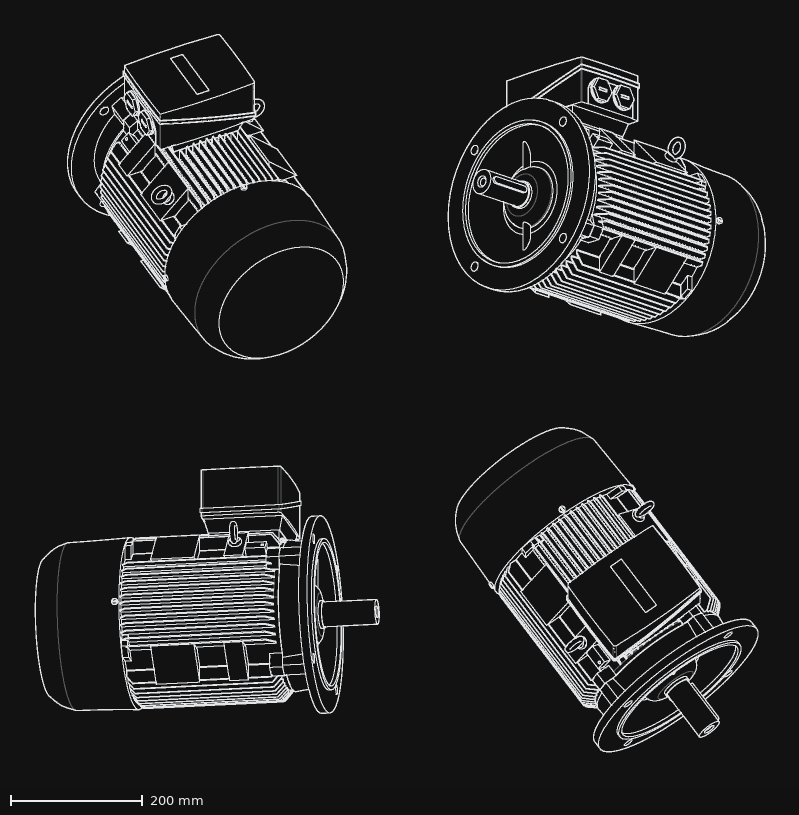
import cadquery as cq
import math


SHAFT_TIP_X = -80.0
SPIGOT_X = -4.0
FLANGE_BACK_X = 13.0
HOUSING_FRONT_X = 51.0
FIN_FRONT_X = 58.5
LUG_BACK_X = 71.0
COVER_FRONT_X = 294.0
COVER_BEND_X = 390.0
COVER_REAR_X = 428.0

SHAFT_R = 19.0
COLLAR_R = 21.0
COLLAR_LENGTH = 5.0
KEY_WIDTH = 10.0
KEY_START_X = -75.0
KEY_LENGTH = 70.0
KEY_TOP = 22.0
CENTRE_HOLE_R = 6.0
CENTRE_HOLE_DEPTH = 28.0
CENTRE_SINK_R = 8.8

FLANGE_R = 150.0
SPIGOT_R = 115.0
BOLT_CIRCLE_R = 132.5
BOLT_HOLE_R = 7.25
BOWL_RIM_R = 109.0
BOWL_RIM_X = 2.0
BOWL_FLOOR_R = 57.0
BOWL_FLOOR_X = 25.0
HUB_BASE_R = 48.0
HUB_FACE_R = 33.0
HUB_FACE_X = 7.0
HUB_BULGE = 3.5
BELL_FRONT_R = 111.0
BELL_BACK_R = 115.5
BOWL_RIB_R = 5.8
BOWL_RIB_X = 17.4
BOWL_RIB_INNER = 38.0
BOWL_RIB_OUTER = 90.0

ROOT_R = 112.5
FIN_TIP_R = 129.7
FIN_THICK = 1.5
FIN_PITCH = 10.95
FINS_PER_SIDE = 13
OUTER_FIN_Y = (FINS_PER_SIDE - 1) / 2 * FIN_PITCH
FIN_FRONT_R = 116.5
FIN_REAR_SLOPE = 9.0
CORE_R = 100.0

PAD_DISTANCE = 130.0
PAD_EDGE_GAP = 2.5
PAD_EDGE = OUTER_FIN_Y + PAD_EDGE_GAP
SHORT_PAD_X = (106.0, 135.0)
LONG_PAD_X = (181.0, 248.0)

BELL_LUG = [(-76.0, 79.0), (-81.0, 98.7), (-65.0, 110.0), (-45.0, 94.0)]
HOUSING_LUG = [(-80.0, 79.0), (-80.0, 101.0), (-64.5, 110.5), (-46.0, 106.0), (-46.0, 79.0)]
REAR_LUG_LENGTH = 9.5

EARTH_DISTANCE = 127.0
EARTH_WIDTH = 17.0
EARTH_X = (75.0, 106.0)
EARTH_HOLE_X = 80.5
EARTH_HOLE_R = 2.0
EARTH_HOLE_DEPTH = 6.0

BOX_PAD_X = (61.0, 170.0)
BOX_PAD_TOP = 121.5

BOX_X = 115.5
BOX_TOP = 214.5
BOX_BOTTOM = 142.0
BOX_CORNER_X = 61.5
BOX_MID_X = 64.3
BOX_CORNER_Y = 80.5
BOX_MID_Y = 81.7
BOX_FRONT_ROUND = 1.0
BOX_REAR_ROUND = 4.0
SEAM_FRONT_Z = 199.2
SEAM_REAR_Z = 149.8
SEAM_BAND = 6.8
SEAM_PROUD = 1.5
NECK_TOP_X = 121.5
NECK_TOP_Y = 122.0
NECK_BOTTOM_X = 110.5
NECK_BOTTOM_Y = 108.0
PANEL_WIDTH = 96.5
PANEL_TOP = 186.5
PANEL_ROUND = 24.0
PANEL_Y = -82.3
GLAND_PITCH = 48.2
GLAND_Z = 169.0
GLAND_WASHER_R = 19.3
GLAND_WASHER_Y = -84.3
GLAND_HEX_ACROSS = 38.5
GLAND_END_Y = -90.0
GLAND_SLOT = (16.0, 4.0, 2.0)
LABEL_SIZE = (91.0, 20.5)
LABEL_X = 116.0
LABEL_DEPTH = 0.5

COVER_FRONT_R = 131.0
COVER_BEND_R = 127.8
COVER_REAR_R = 105.5
COVER_ARC_X = 411.0
COVER_ARC_R = 119.7
SCREW_X = 300.3
SCREW_R = 4.6
SCREW_TOP = 134.0
SCREW_SEAT = 125.0
SCREW_SLOT = (7.0, 1.5, 1.2)

EYE_RING_R = 13.2
EYE_BAR_R = 3.8
EYE_DISTANCE = 150.5
EYE_COLLAR_R = 10.0
EYE_COLLAR_END_R = 7.5
EYE_COLLAR_HEIGHT = 8.0
FRONT_EYE_X = 234.0
REAR_EYE_X = 121.5

QUARTERS = (0, 90, 180, 270)
DIAGONALS = (45, 135, 225, 315)


def about_axis(work, angle):
    """Turn a shape about the motor axis; positive angles carry +Z toward -Y."""
    return work.rotate((0, 0, 0), (1, 0, 0), angle)


def axial_cylinder(radius, x_start, x_end):
    return cq.Workplane("YZ").workplane(offset=x_start).circle(radius).extrude(x_end - x_start)


def radial_block(x_start, x_end, width, top):
    """Block standing on the housing core and reaching up to Z = top."""
    length = x_end - x_start
    height = top - CORE_R
    middle = ((x_start + x_end) / 2, 0, (top + CORE_R) / 2)
    return cq.Workplane("XY").box(length, width, height).translate(middle)


def make_shaft():
    shaft = axial_cylinder(SHAFT_R, SHAFT_TIP_X, HOUSING_FRONT_X)
    collar = axial_cylinder(COLLAR_R, HUB_FACE_X - COLLAR_LENGTH, HUB_FACE_X)
    key = (
        cq.Workplane("XZ")
        .center(KEY_START_X + KEY_LENGTH / 2, 0)
        .slot2D(KEY_LENGTH, KEY_WIDTH)
        .extrude(KEY_TOP)
    )
    sink_depth = CENTRE_SINK_R - CENTRE_HOLE_R
    hole_end_x = SHAFT_TIP_X + CENTRE_HOLE_DEPTH
    centre_hole = (
        cq.Workplane("XY")
        .moveTo(SHAFT_TIP_X, 0)
        .lineTo(SHAFT_TIP_X, CENTRE_SINK_R)
        .lineTo(SHAFT_TIP_X + sink_depth, CENTRE_HOLE_R)
        .lineTo(hole_end_x, CENTRE_HOLE_R)
        .lineTo(hole_end_x, 0)
        .close()
        .revolve(360, (0, 0, 0), (1, 0, 0))
    )
    return shaft.union(collar).union(key).cut(centre_hole)


def lug(corners, x_start, x_end):
    """Clamping lug with the given (Y, Z) section."""
    return (
        cq.Workplane("YZ")
        .workplane(offset=x_start)
        .polyline(corners)
        .close()
        .extrude(x_end - x_start)
    )


def make_flange():
    hub_depth = HUB_BASE_R - HUB_FACE_R
    hub_arc_mid = (
        HUB_FACE_X + hub_depth / 2 - HUB_BULGE * math.sqrt(0.5),
        HUB_FACE_R + hub_depth / 2 + HUB_BULGE * math.sqrt(0.5),
    )
    flange = (
        cq.Workplane("XY")
        .moveTo(HUB_FACE_X, SHAFT_R)
        .lineTo(HUB_FACE_X, HUB_FACE_R)
        .threePointArc(hub_arc_mid, (HUB_FACE_X + hub_depth, HUB_BASE_R))
        .lineTo(BOWL_FLOOR_X, HUB_BASE_R)
        .lineTo(BOWL_FLOOR_X, BOWL_FLOOR_R)
        .lineTo(BOWL_RIM_X, BOWL_RIM_R)
        .lineTo(SPIGOT_X, BOWL_RIM_R)
        .lineTo(SPIGOT_X, SPIGOT_R)
        .lineTo(0, SPIGOT_R)
        .lineTo(0, FLANGE_R)
        .lineTo(FLANGE_BACK_X, FLANGE_R)
        .lineTo(FLANGE_BACK_X, BELL_FRONT_R)
        .lineTo(HOUSING_FRONT_X, BELL_BACK_R)
        .lineTo(HOUSING_FRONT_X, SHAFT_R)
        .close()
        .revolve(360, (0, 0, 0), (1, 0, 0))
    )
    rib = (
        cq.Workplane("XY")
        .workplane(offset=BOWL_RIB_INNER)
        .center(BOWL_RIB_X, 0)
        .circle(BOWL_RIB_R)
        .extrude(BOWL_RIB_OUTER - BOWL_RIB_INNER)
    )
    flange = flange.union(rib).union(about_axis(rib, 180))
    bell_lug = lug(BELL_LUG, FLANGE_BACK_X, HOUSING_FRONT_X)
    for quarter in QUARTERS:
        flange = flange.union(about_axis(bell_lug, quarter))
    bolt_hole = axial_cylinder(BOLT_HOLE_R, 0, FLANGE_BACK_X).translate((0, 0, BOLT_CIRCLE_R))
    for angle in DIAGONALS:
        flange = flange.cut(about_axis(bolt_hole, angle))
    return flange


def fin_set():
    """Parallel fins on all four sides, trimmed by a turned envelope."""
    envelope = (
        cq.Workplane("XY")
        .moveTo(FIN_FRONT_X, 0)
        .lineTo(FIN_FRONT_X, FIN_FRONT_R)
        .lineTo(LUG_BACK_X, FIN_TIP_R)
        .lineTo(COVER_FRONT_X - FIN_REAR_SLOPE, FIN_TIP_R)
        .lineTo(COVER_FRONT_X, FIN_TIP_R - FIN_REAR_SLOPE)
        .lineTo(COVER_FRONT_X, 0)
        .close()
        .revolve(360, (0, 0, 0), (1, 0, 0))
    )
    fins = axial_cylinder(ROOT_R, FIN_FRONT_X, COVER_FRONT_X)
    fin_length = COVER_FRONT_X - FIN_FRONT_X
    fin_middle_x = (COVER_FRONT_X + FIN_FRONT_X) / 2
    for index in range(FINS_PER_SIDE):
        offset = index * FIN_PITCH - OUTER_FIN_Y
        fin = cq.Workplane("XY").box(fin_length, FIN_THICK, 2 * FIN_TIP_R)
        fin = fin.translate((fin_middle_x, offset, 0))
        fins = fins.union(fin).union(about_axis(fin, 90))
    return fins.intersect(envelope)


def box_neck():
    """Tapered foot of the terminal box, standing on the housing pad."""
    return (
        cq.Workplane("XY", origin=(BOX_X, 0, BOX_PAD_TOP))
        .rect(NECK_BOTTOM_X, NECK_BOTTOM_Y)
        .workplane(offset=BOX_BOTTOM - BOX_PAD_TOP)
        .rect(NECK_TOP_X, NECK_TOP_Y)
        .loft(combine=True)
    )


def corner_pad(x_start, x_end):
    """Pad in the -Y +Z quarter with a flat facing out along the diagonal."""
    far_edge = PAD_DISTANCE * math.sqrt(2) - PAD_EDGE
    return (
        cq.Workplane("YZ")
        .workplane(offset=x_start)
        .polyline([(-PAD_EDGE, PAD_EDGE), (-far_edge, PAD_EDGE), (-PAD_EDGE, far_edge)])
        .close()
        .extrude(x_end - x_start)
    )


def make_housing():
    housing = fin_set().union(axial_cylinder(ROOT_R, HOUSING_FRONT_X, FIN_FRONT_X))
    clearing = cq.Workplane("XY").box(
        BOX_X - HOUSING_FRONT_X, 2 * FIN_TIP_R, FIN_TIP_R, centered=(False, True, False)
    )
    housing = housing.cut(clearing.translate((HOUSING_FRONT_X, 0, BOX_PAD_TOP)))
    housing = housing.cut(box_neck())
    housing = housing.union(radial_block(*BOX_PAD_X, NECK_BOTTOM_Y, BOX_PAD_TOP))

    front_lug = lug(HOUSING_LUG, HOUSING_FRONT_X, LUG_BACK_X)
    rear_lug = lug(HOUSING_LUG, COVER_FRONT_X - REAR_LUG_LENGTH, COVER_FRONT_X).mirror("XZ")
    rear_lug = about_axis(rear_lug, 90)
    corner_blocks = (corner_pad(*SHORT_PAD_X), corner_pad(*LONG_PAD_X), front_lug, rear_lug)
    for quarter in QUARTERS:
        for block in corner_blocks:
            housing = housing.union(about_axis(block, quarter))

    earth_block = radial_block(*EARTH_X, EARTH_WIDTH, EARTH_DISTANCE)
    earth_hole = (
        cq.Workplane("XY")
        .workplane(offset=EARTH_DISTANCE)
        .center(EARTH_HOLE_X, 0)
        .circle(EARTH_HOLE_R)
        .extrude(-EARTH_HOLE_DEPTH)
    )
    earth_block = earth_block.cut(earth_hole)
    for angle in (-45, 45):
        housing = housing.union(about_axis(earth_block, angle))
    return housing


def box_prism(proud):
    """Upright prism with four bulged sides, grown sideways by proud."""
    corner_x = BOX_CORNER_X + proud
    corner_y = BOX_CORNER_Y + proud
    mid_x = BOX_MID_X + proud
    mid_y = BOX_MID_Y + proud
    return (
        cq.Workplane("XY")
        .workplane(offset=BOX_BOTTOM)
        .moveTo(-corner_x, -corner_y)
        .threePointArc((0, -mid_y), (corner_x, -corner_y))
        .threePointArc((mid_x, 0), (corner_x, corner_y))
        .threePointArc((0, mid_y), (-corner_x, corner_y))
        .threePointArc((-mid_x, 0), (-corner_x, -corner_y))
        .close()
        .extrude(BOX_TOP - BOX_BOTTOM)
        .edges("|Z")
        .edges("<Y")
        .fillet(BOX_FRONT_ROUND)
        .edges("|Z")
        .edges(">Y")
        .fillet(BOX_REAR_ROUND)
        .translate((BOX_X, 0, 0))
    )


def seam_band():
    """Sloping rim where the lid meets the lower half of the terminal box."""
    half_y = BOX_MID_Y + SEAM_PROUD
    half_band = SEAM_BAND / 2
    slab = (
        cq.Workplane("YZ")
        .polyline([
            (-half_y, SEAM_FRONT_Z - half_band),
            (half_y, SEAM_REAR_Z - half_band),
            (half_y, SEAM_REAR_Z + half_band),
            (-half_y, SEAM_FRONT_Z + half_band),
        ])
        .close()
        .extrude(BOX_MID_X + SEAM_PROUD, both=True)
        .translate((BOX_X, 0, 0))
    )
    return box_prism(SEAM_PROUD).intersect(slab)


def outward(y_start, y_end):
    """Extrusion length on an XZ workplane for a feature that ends at y_end."""
    return y_start - y_end


def make_gland(x):
    washer = (
        cq.Workplane("XZ", origin=(x, -BOX_CORNER_Y, GLAND_Z))
        .circle(GLAND_WASHER_R)
        .extrude(outward(-BOX_CORNER_Y, GLAND_WASHER_Y))
    )
    hexagon = (
        cq.Workplane("XZ", origin=(x, GLAND_WASHER_Y, GLAND_Z))
        .polygon(6, GLAND_HEX_ACROSS)
        .extrude(outward(GLAND_WASHER_Y, GLAND_END_Y))
    )
    slot_length, slot_height, slot_depth = GLAND_SLOT
    slot = (
        cq.Workplane("XZ", origin=(x, GLAND_END_Y, GLAND_Z))
        .rect(slot_length, slot_height)
        .extrude(-slot_depth)
    )
    return washer.union(hexagon).cut(slot)


def make_terminal_box():
    panel_height = PANEL_TOP - BOX_BOTTOM
    panel = (
        cq.Workplane("XZ", origin=(BOX_X, -BOX_CORNER_Y, BOX_BOTTOM + panel_height / 2))
        .rect(PANEL_WIDTH, panel_height)
        .extrude(outward(-BOX_CORNER_Y, PANEL_Y))
        .edges("|Y and >Z")
        .fillet(PANEL_ROUND)
    )
    label = (
        cq.Workplane("XY", origin=(LABEL_X, 0, BOX_TOP))
        .rect(*LABEL_SIZE)
        .extrude(-LABEL_DEPTH)
    )
    box = box_prism(0).union(seam_band()).union(box_neck()).union(panel).cut(label)
    for side in (-1, 1):
        box = box.union(make_gland(BOX_X + side * GLAND_PITCH / 2))
    return box


def make_fan_cover():
    cover = (
        cq.Workplane("XY")
        .moveTo(COVER_FRONT_X, 0)
        .lineTo(COVER_FRONT_X, COVER_FRONT_R)
        .lineTo(COVER_BEND_X, COVER_BEND_R)
        .threePointArc((COVER_ARC_X, COVER_ARC_R), (COVER_REAR_X, COVER_REAR_R))
        .lineTo(COVER_REAR_X, 0)
        .close()
        .revolve(360, (0, 0, 0), (1, 0, 0))
    )
    screw = (
        cq.Workplane("XY", origin=(SCREW_X, 0, SCREW_SEAT))
        .circle(SCREW_R)
        .extrude(SCREW_TOP - SCREW_SEAT)
    )
    slot_length, slot_width, slot_depth = SCREW_SLOT
    slot = cq.Workplane("XY", origin=(SCREW_X, 0, SCREW_TOP)).rect(slot_length, slot_width)
    slot = slot.extrude(-slot_depth)
    screw = screw.cut(slot)
    for angle in (-90, 0, 90):
        cover = cover.union(about_axis(screw, angle))
    return cover


def make_eyebolt(x, angle):
    """Eyebolt standing on a corner pad, its ring square to the motor axis."""
    collar_top = PAD_DISTANCE + EYE_COLLAR_HEIGHT
    collar_middle = PAD_DISTANCE + EYE_COLLAR_HEIGHT / 2
    collar = (
        cq.Workplane("XZ")
        .moveTo(0, PAD_DISTANCE)
        .lineTo(EYE_COLLAR_END_R, PAD_DISTANCE)
        .threePointArc((EYE_COLLAR_R, collar_middle), (EYE_COLLAR_END_R, collar_top))
        .lineTo(0, collar_top)
        .close()
        .revolve(360, (0, 0, 0), (0, 1, 0))
    )
    ring = cq.Workplane("XY").add(
        cq.Solid.makeTorus(EYE_RING_R, EYE_BAR_R, cq.Vector(0, 0, EYE_DISTANCE), cq.Vector(1, 0, 0))
    )
    return about_axis(collar.union(ring), angle).translate((x, 0, 0))


shaft = make_shaft()
flange = make_flange()
housing = make_housing()
terminal_box = make_terminal_box()
fan_cover = make_fan_cover()
eyebolts = [make_eyebolt(FRONT_EYE_X, 45), make_eyebolt(REAR_EYE_X, -45)]

result = cq.Compound.makeCompound([
    shaft.val(),
    flange.val(),
    housing.val(),
    terminal_box.val(),
    fan_cover.val(),
    *[eyebolt.val() for eyebolt in eyebolts],
])